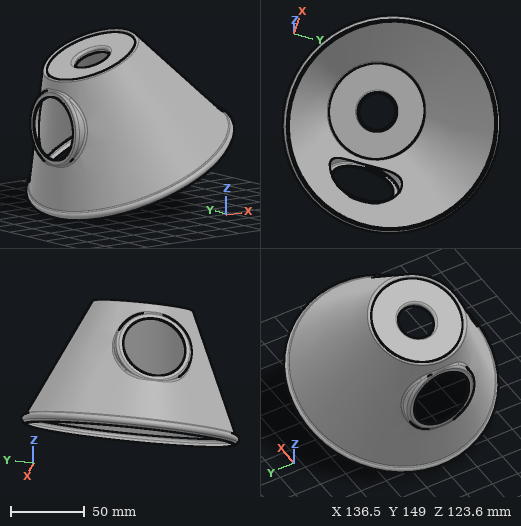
import cadquery as cq
import math

tilt = 24.1
sheet = 1.0
hole_bend = 1.0

rim_outer_radius = 74.5
bead_radius = 2.7
lip_angle = math.radians(45)
lip_length = 2.5
rim_root_round = 1.2

ring_inner_radius = 63.5 / 2
ring_round = 1.5
ring_centre_z = 83.0
cap_z = 82.4
cap_hole_radius = 25.0 / 2
hole_flange_depth = 4.0

port_face_x = -66.5
port_height = 29.4
port_outer_radius = 53.2 / 2
port_hole_radius = 43.5 / 2
port_edge_round = 1.8
port_root_round = 1.8
port_clearance = 3.0
port_length = 29.8

bead_centre_radius = rim_outer_radius - bead_radius
ring_centre_radius = ring_inner_radius + ring_round
foot_dr = bead_centre_radius - ring_centre_radius
foot_dz = ring_centre_z - bead_radius
slope = math.atan2(foot_dr, foot_dz) - math.asin(ring_round / math.hypot(foot_dr, foot_dz))
sheet_across = sheet / math.cos(slope)
bead_hollow = bead_radius - sheet
ring_hollow = ring_round - sheet
ring_turn = math.pi / 2 + slope / 2
inner_foot_z = bead_hollow
inner_foot_radius = (
    bead_centre_radius - sheet_across + (bead_radius - inner_foot_z) * math.tan(slope)
)


def on_circle(centre, radius, angle):
    return (centre[0] + radius * math.cos(angle), centre[1] + radius * math.sin(angle))


def revolved(profile):
    return profile.close().revolve(360, (0, 0, 0), (0, 1, 0))


def tilted(shape):
    return shape.rotate((0, 0, 0), (0, 1, 0), -tilt)


bead = (bead_centre_radius, 0)
ring = (ring_centre_radius, ring_centre_z)
lip_start = on_circle(bead, bead_radius, -lip_angle)
lip_end = (
    lip_start[0] - lip_length * math.sin(lip_angle),
    lip_start[1] - lip_length * math.cos(lip_angle),
)
lip_inner_end = (lip_end[0] - sheet / math.cos(lip_angle), lip_end[1])
bead_turn = math.pi / 4 - lip_angle / 2

root_reach = bead_radius + rim_root_round
root_angle = slope + math.acos((bead_radius * math.sin(slope) + rim_root_round) / root_reach)
root_centre = on_circle(bead, root_reach, root_angle)
root_on_bead = on_circle(bead, bead_radius, root_angle)
root_on_cone = on_circle(root_centre, rim_root_round, slope + math.pi)
root_middle = on_circle(root_centre, rim_root_round, (slope + root_angle) / 2 + math.pi)


def outer_solid():
    """Everything inside the outer surface of the sheet."""
    profile = (
        cq.Workplane("XZ")
        .moveTo(0, lip_end[1])
        .lineTo(*lip_end)
        .lineTo(*lip_start)
        .threePointArc(on_circle(bead, bead_radius, bead_turn), root_on_bead)
        .threePointArc(root_middle, root_on_cone)
        .lineTo(*on_circle(ring, ring_round, slope))
        .threePointArc(
            on_circle(ring, ring_round, ring_turn),
            (ring_inner_radius, ring_centre_z),
        )
        .lineTo(ring_inner_radius, cap_z)
        .lineTo(0, cap_z)
    )
    return revolved(profile)


def cavity():
    """Inside of the sheet, following the bead, the cone and the ring."""
    ceiling_z = cap_z - sheet
    profile = (
        cq.Workplane("XZ")
        .moveTo(0, lip_end[1])
        .lineTo(*lip_inner_end)
        .lineTo(*on_circle(bead, bead_hollow, -lip_angle))
        .threePointArc(
            on_circle(bead, bead_hollow, bead_turn),
            (bead_centre_radius, bead_hollow),
        )
        .lineTo(inner_foot_radius, inner_foot_z)
        .lineTo(*on_circle(ring, ring_hollow, slope))
        .threePointArc(
            on_circle(ring, ring_hollow, ring_turn),
            (ring_inner_radius + sheet, ring_centre_z),
        )
        .lineTo(ring_inner_radius + sheet, ceiling_z)
        .lineTo(0, ceiling_z)
    )
    return revolved(profile)


def hole_tool(radius, bend, top_z):
    """Round hole flared at its top, where the cap bends down into the flange."""
    bend_centre = (radius + bend, top_z - bend)
    profile = (
        cq.Workplane("XZ")
        .moveTo(0, cap_z - hole_flange_depth)
        .lineTo(radius, cap_z - hole_flange_depth)
        .lineTo(radius, top_z - bend)
        .threePointArc(
            on_circle(bend_centre, bend, math.radians(135)),
            (radius + bend, top_z),
        )
        .lineTo(0, top_z)
    )
    return revolved(profile)


def port_cylinder(radius, face_x):
    return (
        cq.Workplane("YZ").workplane(offset=face_x)
        .center(0, port_height).circle(radius).extrude(port_length)
    )


def rounded_port(radius, face_x, edge_round):
    return port_cylinder(radius, face_x).faces("<X").edges().fillet(edge_round)


hole_flange = hole_tool(cap_hole_radius + sheet, hole_bend, cap_z - sheet)
cap_hole = hole_tool(cap_hole_radius, hole_bend + sheet, cap_z)
port = rounded_port(port_outer_radius, port_face_x, port_edge_round)
port_hollow = rounded_port(
    port_outer_radius - sheet, port_face_x + sheet, port_edge_round - sheet
)

outside = tilted(outer_solid()).union(port).edges("%BSPLINE").fillet(port_root_round)
result = (
    outside
    .cut(tilted(cavity().cut(hole_flange)))
    .cut(port_hollow)
    .cut(tilted(cap_hole))
    .cut(port_cylinder(port_hole_radius, port_face_x - port_clearance))
)